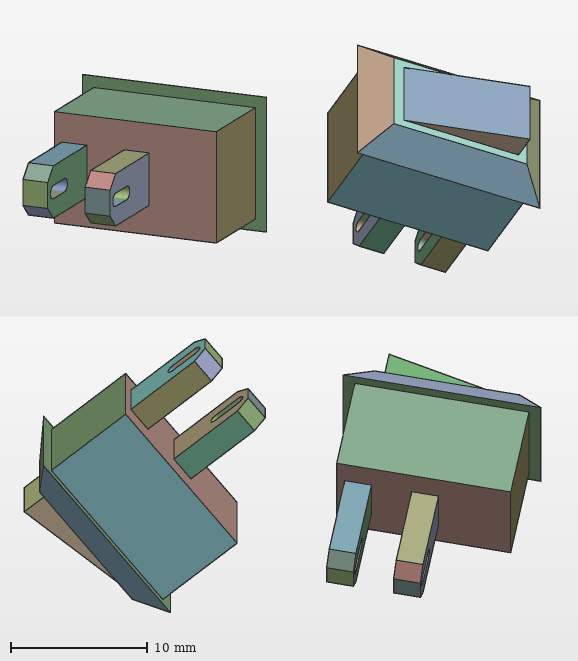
import cadquery as cq


bezel_width = 14.8
bezel_height = 10.3
bezel_depth = 2.0
bezel_overhang = 0.9
box_depth = 7.0

rocker_left = -4.72
rocker_right = 4.55
rocker_height = 5.04
rocker_rise = 2.0

terminal_length = 7.0
terminal_thickness = 2.0
terminal_height = 4.0
terminal_chamfer = 1.0
first_terminal_x = -4.9
terminal_pitch = 5.0
terminal_count = 2

slot_length = 3.0
slot_width = 1.0
slot_tip_margin = 0.5

box_width = bezel_width - 2 * bezel_overhang
box_height = bezel_height - 2 * bezel_overhang
bezel_inset = bezel_depth
terminal_tip_y = -box_depth - terminal_length


def make_housing():
    """Box with a bezel that tapers on all four sides."""
    box = cq.Workplane("XY").box(box_width, box_depth, box_height).translate((0, -box_depth / 2, 0))
    bezel = (
        cq.Workplane("XZ")
        .rect(bezel_width, bezel_height)
        .workplane(offset=-bezel_depth)
        .rect(bezel_width - 2 * bezel_inset, bezel_height - 2 * bezel_inset)
        .loft(ruled=True)
    )
    return box.union(bezel)


def make_rocker():
    """Triangular wedge resting on the bezel face."""
    return (
        cq.Workplane("XY")
        .moveTo(rocker_left, bezel_depth)
        .lineTo(rocker_right, bezel_depth)
        .lineTo(rocker_left, bezel_depth + rocker_rise)
        .close()
        .extrude(rocker_height / 2, both=True)
    )


def make_terminal(center_x):
    """Blade with a chamfered tip and a slot through its thickness."""
    blade = (
        cq.Workplane("XY")
        .box(terminal_thickness, terminal_length, terminal_height)
        .translate((center_x, -box_depth - terminal_length / 2, 0))
        .faces("<Y")
        .edges("|X")
        .chamfer(terminal_chamfer)
    )
    slot_center_y = terminal_tip_y + slot_tip_margin + slot_length / 2
    slot = (
        cq.Workplane("YZ", origin=(center_x, slot_center_y, 0))
        .slot2D(slot_length, slot_width)
        .extrude(terminal_thickness, both=True)
    )
    return blade.cut(slot)


housing = make_housing()
rocker = make_rocker()
terminals = [make_terminal(first_terminal_x + i * terminal_pitch) for i in range(terminal_count)]

result = cq.Compound.makeCompound(
    [housing.val(), rocker.val(), *[terminal.val() for terminal in terminals]]
)